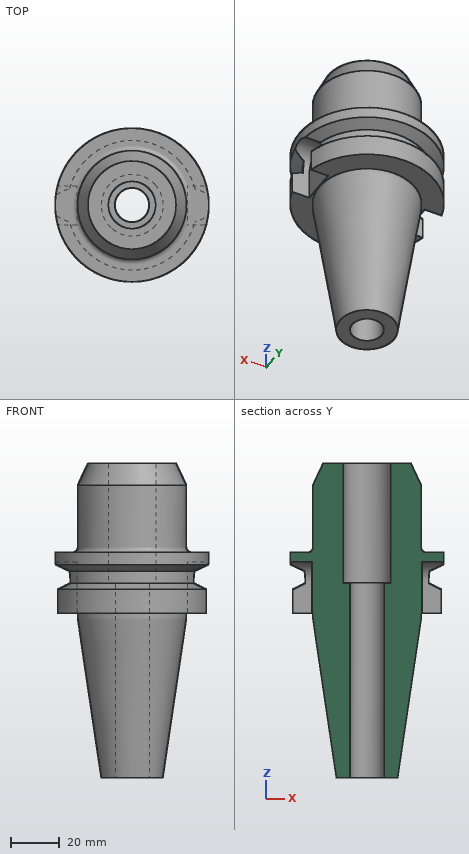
import cadquery as cq

total_length = 128.9
taper_length = 65.4
taper_end_radius = 12.6
shank_radius = 22.3

flange_radius = 31.52
flange_bottom = 67.4
groove_lower_edge = 77.2
groove_upper_edge = 87.3
flange_top = 92.4
groove_radius = 26.5
groove_side_height = 2.6

nose_radius = shank_radius
nose_fillet = 2.0
nose_end_radius = 18.0
nose_cone_height = 9.0

bore_radius = 9.7
bore_depth = 49.0
through_hole_radius = 7.0

slot_width = 16.0
slot_top = 88.4
slot_floor_distance = 22.5


def make_body():
    """Revolve half of the holder's outer section about the Z axis."""
    section = (
        cq.Workplane("XZ")
        .moveTo(0, 0)
        .lineTo(taper_end_radius, 0)
        .lineTo(shank_radius, taper_length)
        .lineTo(shank_radius, flange_bottom)
        .lineTo(flange_radius, flange_bottom)
        .lineTo(flange_radius, groove_lower_edge)
        .lineTo(groove_radius, groove_lower_edge + groove_side_height)
        .lineTo(groove_radius, groove_upper_edge - groove_side_height)
        .lineTo(flange_radius, groove_upper_edge)
        .lineTo(flange_radius, flange_top)
        .lineTo(nose_radius + nose_fillet, flange_top)
        .radiusArc((nose_radius, flange_top + nose_fillet), nose_fillet)
        .lineTo(nose_radius, total_length - nose_cone_height)
        .lineTo(nose_end_radius, total_length)
        .lineTo(0, total_length)
        .close()
    )
    return section.revolve(360, (0, 0, 0), (0, 1, 0))


def make_holes():
    """Tool bore from the top, continued by a smaller hole to the bottom."""
    through_hole = cq.Workplane("XY").circle(through_hole_radius).extrude(total_length)
    bore = (
        cq.Workplane("XY")
        .workplane(offset=total_length - bore_depth)
        .circle(bore_radius)
        .extrude(bore_depth)
    )
    return through_hole.union(bore)


def make_drive_slot():
    """Round-topped cutter for the slot on the +X side."""
    half_width = slot_width / 2
    arc_center_z = slot_top - half_width
    return (
        cq.Workplane("YZ")
        .workplane(offset=slot_floor_distance)
        .moveTo(-half_width, flange_bottom)
        .lineTo(half_width, flange_bottom)
        .lineTo(half_width, arc_center_z)
        .threePointArc((0, slot_top), (-half_width, arc_center_z))
        .close()
        .extrude(flange_radius)
    )


result = make_body().cut(make_holes())
for angle in (0, 180):
    result = result.cut(make_drive_slot().rotate((0, 0, 0), (0, 0, 1), angle))